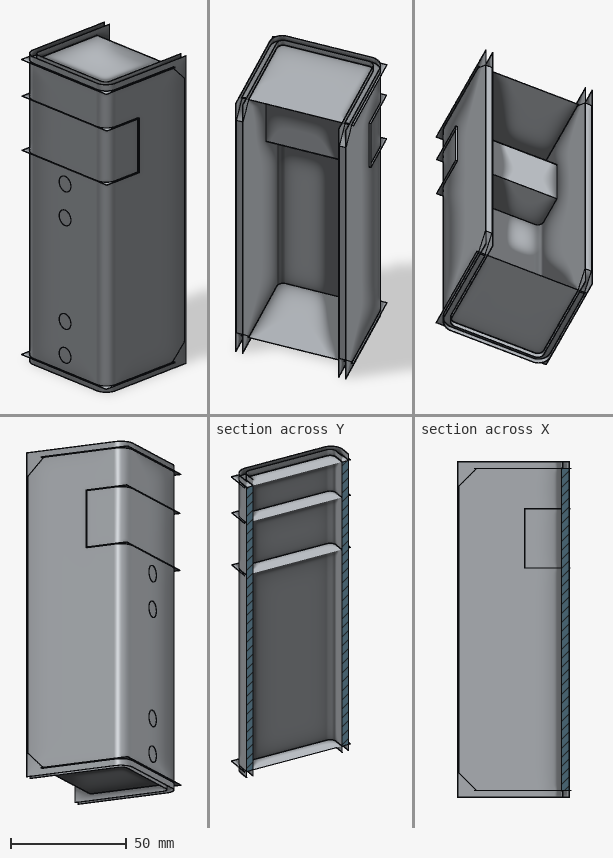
import cadquery as cq

height = 145.3
plate_width = 52.6
depth = 49.1
sheet = 0.1

side_overhang = 0.9
front_overhang = 0.7
wall_width = plate_width - 2 * side_overhang
side_wall = 3.3
front_wall = 2.9
outer_radius = 5.8
inner_radius = outer_radius - front_wall
end_recess = 2.9
back_recess = 0.7
core_chamfer = 7.5

end_plate_depth = 41.7

band_bottom = 99.2
band_top = 125.0
band_front = 0.5
band_back = 20.0

mark_diameter = 7.3
mark_depth = sheet / 2
mark_pitch = 16.0
mark_pair_bottoms = (10.6, 75.5)


def u_block(side_inset, front_inset, radius):
    """Full-height block inset from the outer wall faces, with rounded front corners."""
    width = wall_width - 2 * side_inset
    front = front_overhang + front_inset
    block = cq.Workplane("XY").box(width, depth - front, height, centered=(True, False, False))
    return block.edges("|Z and <Y").fillet(radius).translate((0, front, 0))


def plate(front, back, z_bottom, thickness):
    """Full-width rectangular plate between two Y positions."""
    return (
        cq.Workplane("XY")
        .box(plate_width, back - front, thickness, centered=(True, False, False))
        .translate((0, front, z_bottom))
    )


def wall_core():
    """Thick U wall with its back corners cut off at top and bottom."""
    z_bottom = end_recess
    z_top = height - end_recess
    back = depth - back_recess
    side_profile = (
        cq.Workplane("YZ")
        .moveTo(0, z_bottom)
        .lineTo(back - core_chamfer, z_bottom)
        .lineTo(back, z_bottom + core_chamfer)
        .lineTo(back, z_top - core_chamfer)
        .lineTo(back - core_chamfer, z_top)
        .lineTo(0, z_top)
        .close()
        .extrude(plate_width / 2, both=True)
    )
    channel = u_block(0, 0, outer_radius).cut(u_block(side_wall, front_wall, inner_radius))
    return channel.intersect(side_profile)


def outer_skin():
    """Thin full-height sheet over the outside of the wall."""
    return u_block(0, 0, outer_radius).cut(u_block(sheet, sheet, outer_radius - sheet))


def inner_skin():
    """Thin full-height sheet over the inside of the wall."""
    outside = u_block(side_wall - sheet, front_wall - sheet, inner_radius + sheet)
    return outside.cut(u_block(side_wall, front_wall, inner_radius))


def end_plates():
    """Thin plates closing the channel, flush with the ends of the wall core."""
    bottom = plate(0, end_plate_depth, end_recess, sheet)
    top = plate(0, end_plate_depth, height - end_recess - sheet, sheet)
    return bottom.union(top)


def band_plates():
    """Two thin shelves joined by an upright plate at their back edge."""
    box = plate(band_front, band_back, band_bottom, band_top - band_bottom)
    space = plate(band_front, band_back - sheet, band_bottom + sheet, band_top - band_bottom - 2 * sheet)
    return box.cut(space)


def front_marks():
    """Discs that sink the round marks into the front face."""
    heights = [bottom + step for bottom in mark_pair_bottoms for step in (0, mark_pitch)]
    return (
        cq.Workplane("XZ", origin=(0, front_overhang, 0))
        .pushPoints([(0, z) for z in heights])
        .circle(mark_diameter / 2)
        .extrude(-mark_depth)
    )


result = (
    wall_core()
    .union(outer_skin())
    .union(inner_skin())
    .union(end_plates())
    .union(band_plates())
    .cut(front_marks())
)